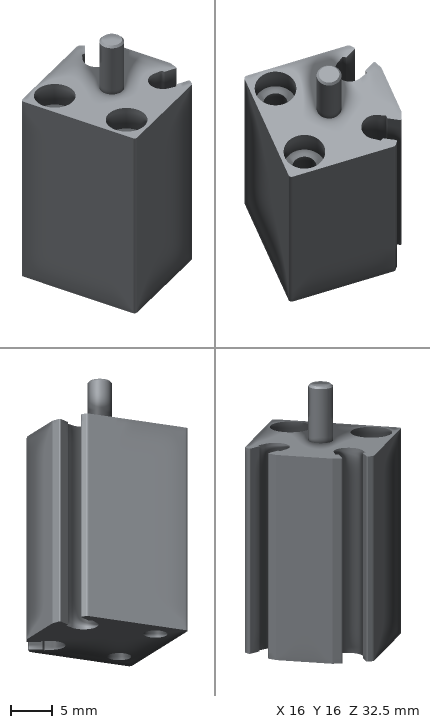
import cadquery as cq
import math

side = 16.0
total_height = 32.5
rod_length = 7.0
housing_height = total_height - rod_length
corner_radius = 0.4

hole_offset = 5.0
hole_diameter = 2.9
counterbore_diameter = 5.0
counterbore_depth = 3.0

bevel_rear_x = 3.48
bevel_apex_x = 5.95
bevel_apex_y = 7.05
bevel_side_y = 5.52

slot_x = 4.55
slot_y = 4.35
slot_radius = 1.8
shoulder_half_width = 1.9
mouth_half_width = 1.5
shoulder_start = 0.88
shoulder_end = 1.1
slot_reach = 6.5
slot_tilt = 30.0
lip_radius = 0.15

rod_diameter = 3.0
rod_tip_diameter = 2.47
rod_chamfer = (rod_diameter - rod_tip_diameter) / 2


def make_block():
    """Square block with bevelled rear corners, rounded along both sides' vertical edges."""
    half = side / 2
    return (
        cq.Workplane("XY")
        .moveTo(-half, -half)
        .lineTo(half, -half)
        .lineTo(half, bevel_side_y)
        .lineTo(bevel_apex_x, bevel_apex_y)
        .lineTo(bevel_rear_x, half)
        .lineTo(-bevel_rear_x, half)
        .lineTo(-bevel_apex_x, bevel_apex_y)
        .lineTo(-half, bevel_side_y)
        .close()
        .extrude(housing_height)
        .edges("|Z and (<X or >X)")
        .fillet(corner_radius)
    )


def make_slot_cutter(direction):
    """Slot on the left (-1) or right (+1), opening outward at slot_tilt from +Y."""
    return (
        cq.Workplane("XY")
        .moveTo(-slot_radius, 0)
        .threePointArc((0, -slot_radius), (slot_radius, 0))
        .lineTo(shoulder_half_width, shoulder_start)
        .lineTo(mouth_half_width, shoulder_end)
        .lineTo(mouth_half_width, slot_reach)
        .lineTo(-mouth_half_width, slot_reach)
        .lineTo(-mouth_half_width, shoulder_end)
        .lineTo(-shoulder_half_width, shoulder_start)
        .close()
        .extrude(housing_height)
        .rotate((0, 0, 0), (0, 0, 1), -direction * slot_tilt)
        .translate((direction * slot_x, slot_y, 0))
    )


def is_lip_edge(edge):
    """True for a vertical edge where a slot mouth meets the bevelled corner."""
    center = edge.Center()
    tilt = math.radians(slot_tilt)
    from_slot_x = abs(center.x) - slot_x
    from_slot_y = center.y - slot_y
    along = from_slot_x * math.sin(tilt) + from_slot_y * math.cos(tilt)
    across = from_slot_x * math.cos(tilt) - from_slot_y * math.sin(tilt)
    return along > slot_radius and math.isclose(abs(across), mouth_half_width, abs_tol=0.003)


def make_housing():
    """Block with counterbored through holes and two sensor slots with rounded lips."""
    housing = (
        make_block()
        .faces(">Z")
        .workplane(origin=(0, 0, housing_height))
        .pushPoints([(-hole_offset, -hole_offset), (hole_offset, -hole_offset)])
        .cboreHole(hole_diameter, counterbore_diameter, counterbore_depth)
    )
    for direction in (-1, 1):
        housing = housing.cut(make_slot_cutter(direction))
    return housing.edges("|Z").filter(is_lip_edge).fillet(lip_radius)


def make_rod():
    """Piston rod standing on the housing, with a chamfered tip."""
    return (
        cq.Workplane("XY", origin=(0, 0, housing_height))
        .circle(rod_diameter / 2)
        .extrude(rod_length)
        .faces(">Z")
        .chamfer(rod_chamfer)
    )


housing = make_housing()
rod = make_rod()
result = cq.Compound.makeCompound([housing.val(), rod.val()])